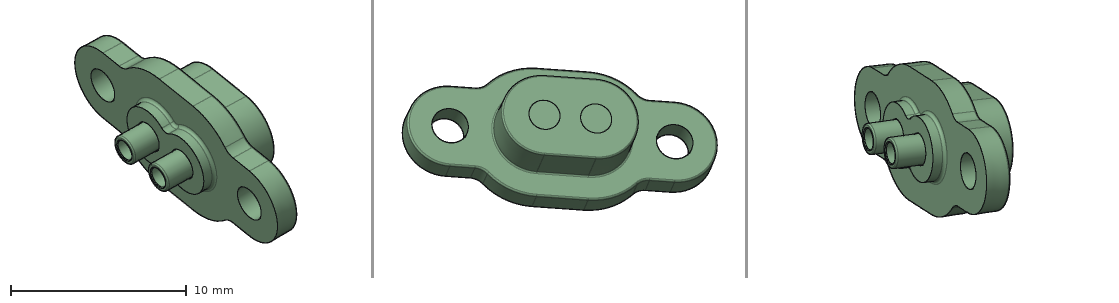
import cadquery as cq
import math


LENGTH = 18.0
EAR_RADIUS = 2.5
EAR_OFFSET = LENGTH / 2 - EAR_RADIUS
EAR_HOLE_DIAMETER = 2.1
FLANGE_THICKNESS = 1.51
CONTACT_OFFSET = 1.5
BODY_RADIUS = 4.0
BLEND_RADIUS = 1.0
FLANGE_EDGE_RADIUS = 0.1

REAR_RADIUS = 2.5
REAR_LENGTH = 2.5
REAR_ROOT_RADIUS = 0.09
REAR_EDGE_RADIUS = 0.09

FRONT_RADIUS = 1.93
FRONT_LENGTH = 0.8
FRONT_ROOT_RADIUS = 0.2
WAIST_RADIUS = 0.5

DRAFT_ANGLE = 1.0

TUBE_DIAMETER = 1.8
TUBE_PROTRUSION = 1.8
TUBE_EDGE_RADIUS = 0.09
CLEARANCE_DIAMETER = 1.89
BORE_DIAMETER = 1.25
BORE_DEPTH = TUBE_PROTRUSION
BORE_MOUTH_CHAMFER = 0.05
BORE_CONE_ANGLE = 118.0

REAR_FACE_Y = FLANGE_THICKNESS + REAR_LENGTH
TUBE_TIP_Y = -(FRONT_LENGTH + TUBE_PROTRUSION)
CONTACT_POSITIONS = (-CONTACT_OFFSET, CONTACT_OFFSET)
EAR_POSITIONS = (-EAR_OFFSET, EAR_OFFSET)

PICK_MARGIN = 0.09


def plane_at(y):
    """Workplane parallel to XZ at the given Y; positive extrusions run toward -Y."""
    return cq.Workplane("XZ", origin=(0, y, 0))


def drafted_slot(half_length, radius, start_y, depth):
    """Round-ended block that runs from start_y toward +Y and narrows with the draft."""
    return plane_at(start_y).slot2D(2 * half_length, 2 * radius).extrude(-depth, taper=DRAFT_ANGLE)


def round_cylinders(x_positions, diameter, front_y, back_y):
    """Equal cylinders along Y at the given X positions."""
    centers = [(x, 0) for x in x_positions]
    return plane_at(back_y).pushPoints(centers).circle(diameter / 2).extrude(back_y - front_y)


def edges_near(body, half_length, half_height, y_min, y_max):
    """Edges whose middle lies in a box centered on the Y axis."""
    box = cq.selectors.BoxSelector(
        (-half_length, y_min, -half_height),
        (half_length, y_max, half_height),
    )
    return body.edges(box)


def edges_on_plane(body, y, half_length, half_height):
    """Edges centered close to the plane Y = y, inside a centered rectangle."""
    box = cq.selectors.BoxSelector(
        (-half_length, y - PICK_MARGIN, -half_height),
        (half_length, y + PICK_MARGIN, half_height),
        boundingbox=True,
    )
    return body.edges(box)


def make_flange():
    """Plate with a wide middle and two rounded ears, blended and softened at its rear edge."""
    ears = drafted_slot(LENGTH / 2, EAR_RADIUS, 0, FLANGE_THICKNESS)
    middle = drafted_slot(CONTACT_OFFSET + BODY_RADIUS, BODY_RADIUS, 0, FLANGE_THICKNESS)
    plate = ears.union(middle)
    corners = edges_near(
        plate,
        EAR_OFFSET - PICK_MARGIN,
        EAR_RADIUS + PICK_MARGIN,
        PICK_MARGIN,
        FLANGE_THICKNESS - PICK_MARGIN,
    )
    plate = corners.fillet(BLEND_RADIUS)
    return plate.faces(">Y").edges().fillet(FLANGE_EDGE_RADIUS)


def make_rear_boss():
    """Round-ended boss behind the flange."""
    boss = drafted_slot(CONTACT_OFFSET + REAR_RADIUS, REAR_RADIUS, FLANGE_THICKNESS, REAR_LENGTH)
    return boss.faces(">Y").edges().fillet(REAR_EDGE_RADIUS)


def make_front_lobe(x):
    """Round half of the front boss, centered on one contact axis."""
    return plane_at(0).center(x, 0).circle(FRONT_RADIUS).extrude(FRONT_LENGTH, taper=DRAFT_ANGLE)


def make_front_boss():
    """Two overlapping lobes with a blended waist."""
    left_lobe, right_lobe = [make_front_lobe(x) for x in CONTACT_POSITIONS]
    lobes = left_lobe.union(right_lobe)
    waist = edges_near(lobes, CONTACT_OFFSET / 2, FRONT_RADIUS, -FRONT_LENGTH, 0)
    return waist.fillet(WAIST_RADIUS)


def make_housing():
    """Flange and bosses with rounded roots, ear holes and stepped seats for the tubes."""
    body = make_flange().union(make_rear_boss()).union(make_front_boss())

    rear_root = edges_on_plane(
        body,
        FLANGE_THICKNESS,
        CONTACT_OFFSET + REAR_RADIUS + PICK_MARGIN,
        REAR_RADIUS + PICK_MARGIN,
    )
    body = rear_root.fillet(REAR_ROOT_RADIUS)

    front_root = edges_on_plane(
        body,
        0,
        CONTACT_OFFSET + FRONT_RADIUS + PICK_MARGIN,
        FRONT_RADIUS + PICK_MARGIN,
    )
    body = front_root.fillet(FRONT_ROOT_RADIUS)

    ear_holes = round_cylinders(EAR_POSITIONS, EAR_HOLE_DIAMETER, 0, FLANGE_THICKNESS)
    seats = round_cylinders(CONTACT_POSITIONS, TUBE_DIAMETER, -FRONT_LENGTH, REAR_FACE_Y)
    clearances = round_cylinders(CONTACT_POSITIONS, CLEARANCE_DIAMETER, -FRONT_LENGTH, 0)
    return body.cut(ear_holes).cut(seats).cut(clearances).solids()


def make_bore():
    """Bore on the Y axis with a chamfered mouth at the tube tip and a conical bottom."""
    radius = BORE_DIAMETER / 2
    cone_start_y = TUBE_TIP_Y + BORE_DEPTH
    cone_depth = radius / math.tan(math.radians(BORE_CONE_ANGLE / 2))
    return (
        cq.Workplane("XY")
        .moveTo(0, TUBE_TIP_Y)
        .lineTo(radius + BORE_MOUTH_CHAMFER, TUBE_TIP_Y)
        .lineTo(radius, TUBE_TIP_Y + BORE_MOUTH_CHAMFER)
        .lineTo(radius, cone_start_y)
        .lineTo(0, cone_start_y + cone_depth)
        .close()
        .revolve(360, (0, 0), (0, 1))
    )


def make_contact_tube(x):
    """Tube through the housing, flush with the rear face, rounded and bored at its tip."""
    tube = round_cylinders([0], TUBE_DIAMETER, TUBE_TIP_Y, REAR_FACE_Y)
    tube = tube.faces("<Y").edges().fillet(TUBE_EDGE_RADIUS)
    return tube.cut(make_bore()).translate((x, 0, 0)).solids()


housing = make_housing()
contact_tubes = [make_contact_tube(x) for x in CONTACT_POSITIONS]

result = cq.Compound.makeCompound([housing.val(), *[tube.val() for tube in contact_tubes]])